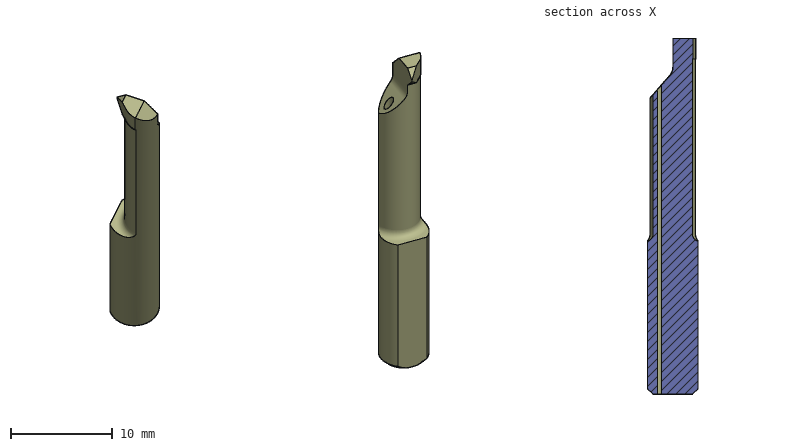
import cadquery as cq
import math

total_length = 35.0
shank_radius = 2.502
shank_length = 15.0
end_chamfer = 0.52
flat_x = -1.942

neck_center_x = 1.45
neck_radius = 2.28
neck_root_radius = 0.75

head_height = 2.03
head_radius = neck_radius + 0.05
tip_x = -1.85
tip_drop = 0.95
tip_land = 0.15
rear_bevel = 1.45

ramp_angle = 41.0
ramp_start_z = 31.7
ramp_blend_radius = 1.22

hole_x = 0.7
hole_y = 1.3
hole_diameter = 0.9


def shank_cylinder(length):
    return cq.Workplane("XY").circle(shank_radius).extrude(length)


def make_shank():
    """Round shank with a chamfered lower end and one side flat."""
    width = 2 * shank_radius
    keep = cq.Workplane("XY").box(width, width, shank_length, centered=(False, True, False))
    shank = shank_cylinder(shank_length).faces("<Z").chamfer(end_chamfer)
    return shank.intersect(keep.translate((flat_x, 0, 0)))


def make_neck():
    """Neck with a concave root flare, turned about the neck axis."""
    root_top = shank_length + neck_root_radius
    flare_radius = neck_radius + neck_root_radius
    arc_offset = neck_root_radius * math.sqrt(0.5)
    profile = (
        cq.Workplane("XZ")
        .moveTo(0, shank_length)
        .lineTo(flare_radius, shank_length)
        .threePointArc((flare_radius - arc_offset, root_top - arc_offset), (neck_radius, root_top))
        .lineTo(neck_radius, total_length)
        .lineTo(0, total_length)
        .close()
    )
    neck = profile.revolve(360, (0, 0, 0), (0, 1, 0)).translate((neck_center_x, 0, 0))
    return neck.intersect(shank_cylinder(total_length))


def make_head():
    """Pointed tooth whose flank runs tangent into a slightly proud head cylinder."""
    tip_distance = neck_center_x - tip_x
    tangent_angle = math.acos(head_radius / tip_distance)
    tangent_x = neck_center_x - head_radius * math.cos(tangent_angle)
    tangent_y = -head_radius * math.sin(tangent_angle)
    tip_z = total_length - tip_drop
    head_base = total_length - head_height
    tooth_root_x = neck_center_x - head_radius

    base = cq.Workplane("XY").workplane(offset=head_base)
    tooth = (
        base.polyline([(tip_x, 0), (tangent_x, tangent_y), (neck_center_x, 0)])
        .close()
        .extrude(head_height)
    )
    body = base.center(neck_center_x, 0).circle(head_radius).extrude(head_height)
    side = (
        cq.Workplane("XZ")
        .polyline([
            (tip_x, tip_z - tip_land / 2),
            (tip_x, tip_z + tip_land / 2),
            (tooth_root_x, total_length),
            (shank_radius, total_length),
            (shank_radius, head_base),
            (tooth_root_x, head_base),
        ])
        .close()
        .extrude(shank_radius)
    )
    return tooth.union(body).intersect(side).intersect(shank_cylinder(total_length))


def make_relief():
    """Cutter clearing the +Y half of the head, with a blended ramp below."""
    outer_y = 2 * shank_radius
    top_z = total_length + shank_radius
    ramp_end_z = ramp_start_z - outer_y / math.tan(math.radians(ramp_angle))
    cutter = (
        cq.Workplane("YZ")
        .polyline([(0, ramp_start_z), (0, top_z), (outer_y, top_z), (outer_y, ramp_end_z)])
        .close()
        .extrude(2 * shank_radius, both=True)
    )
    ramp_edge = cq.selectors.NearestToPointSelector((0, 0, ramp_start_z))
    return cutter.edges("|X").edges(ramp_edge).fillet(ramp_blend_radius)


def make_rear_bevel():
    """Wedge removing the upper +X corner of the head at 45 degrees."""
    return (
        cq.Workplane("XZ")
        .polyline([
            (shank_radius - rear_bevel, total_length),
            (shank_radius, total_length),
            (shank_radius, total_length - rear_bevel),
        ])
        .close()
        .extrude(shank_radius, both=True)
    )


coolant_hole = (
    cq.Workplane("XY").center(hole_x, hole_y).circle(hole_diameter / 2).extrude(total_length)
)

result = make_shank().union(make_neck()).union(make_head())
result = result.cut(make_relief()).cut(make_rear_bevel()).cut(coolant_hole)